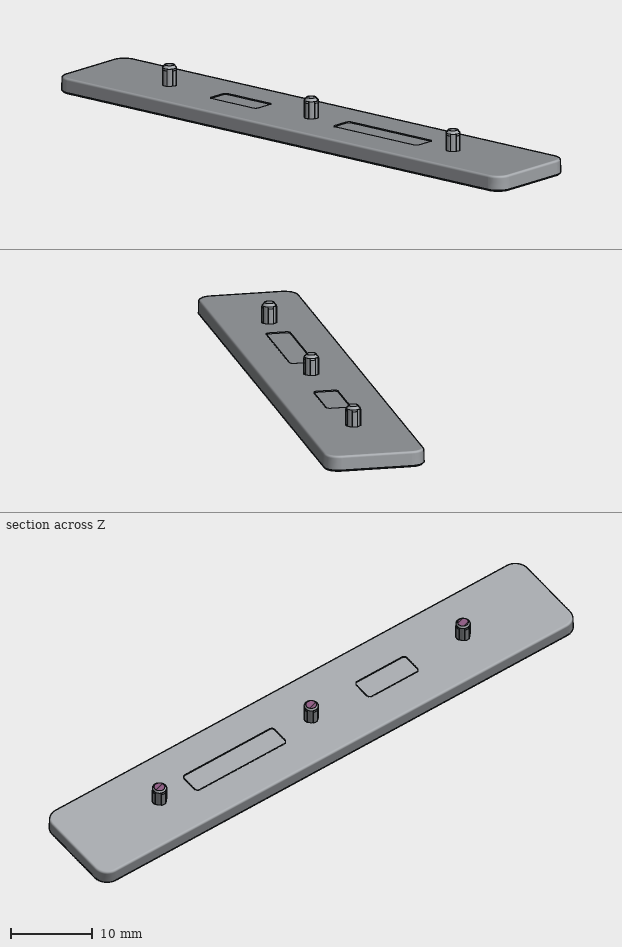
import cadquery as cq

length = 72.1
width = 12.6
plate_height = 1.95
corner_radius = 1.9
bottom_bevel = 0.2
bevel_angle = 45
side_draft = 1.5
top_round = 0.3

total_height = 4.5
pin_height = total_height - plate_height
pin_spacing = 23.0
pin_radius = 0.95
core_radius = 0.9
pad_width = 0.65
tip_radius = 0.6
tip_height = 0.35
pad_bevel_height = 0.2

label_depth = 0.15
label_width = 3.0
label_corner_radius = 0.4
label_panels = [(-11.5, 7.65), (11.6, 13.7)]


def plate_section():
    outline = cq.Sketch().rect(length, width).vertices().fillet(corner_radius)
    return cq.Workplane("XY", origin=(0, 0, bottom_bevel)).placeSketch(outline)


def make_plate():
    upper = plate_section().extrude(plate_height - bottom_bevel, taper=side_draft)
    upper = upper.faces(">Z").edges().fillet(top_round)
    lower = plate_section().extrude(-bottom_bevel, taper=bevel_angle)
    return upper.union(lower)


def make_label_recess(x, panel_length):
    outline = cq.Sketch().rect(panel_length, label_width).vertices().fillet(label_corner_radius)
    floor = cq.Workplane("XY", origin=(x, 0, plate_height - label_depth))
    return floor.placeSketch(outline).extrude(label_depth)


def make_pin(x):
    base = cq.Workplane("XY", origin=(x, 0, plate_height))
    tip_base = pin_height - tip_height
    bars = base.rect(2 * pin_radius, pad_width).extrude(pin_height)
    bars = bars.union(base.rect(pad_width, 2 * pin_radius).extrude(pin_height))
    core = base.circle(core_radius).extrude(pin_height)
    envelope = (
        cq.Workplane("XZ", origin=(x, 0, plate_height))
        .lineTo(pin_radius, 0)
        .lineTo(pin_radius, tip_base - pad_bevel_height)
        .lineTo(core_radius, tip_base)
        .lineTo(tip_radius, pin_height)
        .lineTo(0, pin_height)
        .close()
        .revolve(360, (0, 0), (0, 1))
    )
    return core.union(bars).intersect(envelope)


result = make_plate()
for x, panel_length in label_panels:
    result = result.cut(make_label_recess(x, panel_length))
for x in (-pin_spacing, 0, pin_spacing):
    result = result.union(make_pin(x))